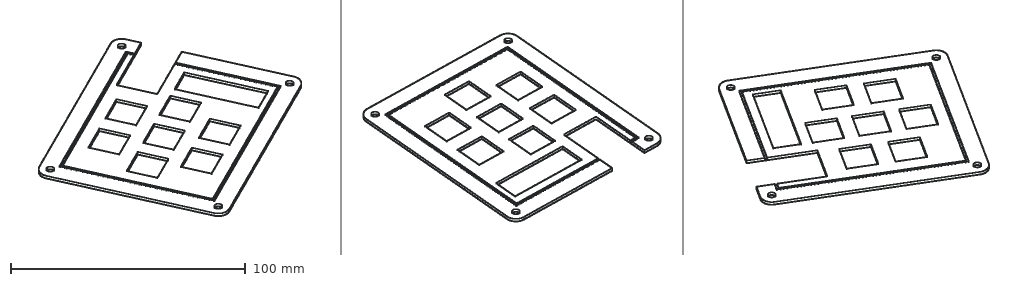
import cadquery as cq

width = 86.0
length = 100.0
thickness = 1.5
corner_radius = 5.0

hole_diameter = 3.4
hole_inset = 5.0

groove_length = 84.0
groove_side_gap = 8.0
groove_width = 1.0
groove_depth = 0.5

notch_left = -31.0
notch_width = 18.4
notch_depth = 31.0
notch_corner_radius = 0.5

window_width = 38.0
window_length = 12.2
window_center = (12.2, 30.8)

key_size = 13.9
left_column_x = -20.8
left_column_y = (2.8, -18.6)
middle_column_x = 0.0
middle_column_y = (12.8, -7.7, -28.3)
right_keys = [(21.2, 3.6), (20.7, -17.8)]
key_centers = (
    [(left_column_x, y) for y in left_column_y]
    + [(middle_column_x, y) for y in middle_column_y]
    + right_keys
)


def make_plate():
    """Rounded plate resting on Z = 0, with its corner holes."""
    plate = cq.Workplane("XY").rect(width, length).extrude(thickness)
    plate = plate.edges("|Z").fillet(corner_radius)
    hole_pattern = (width - 2 * hole_inset, length - 2 * hole_inset)
    return (
        plate.faces(">Z")
        .workplane(origin=(0, 0, thickness))
        .rect(*hole_pattern, forConstruction=True)
        .vertices()
        .hole(hole_diameter)
    )


def make_groove():
    """Rectangular ring that sinks into the top face."""
    groove_outer_width = width - 2 * groove_side_gap
    return (
        cq.Workplane("XY", origin=(0, 0, thickness))
        .rect(groove_outer_width, groove_length)
        .rect(groove_outer_width - 2 * groove_width, groove_length - 2 * groove_width)
        .extrude(-groove_depth)
    )


def make_notch():
    """Cutter for the edge notch, rounded at its two inner corners."""
    center = (notch_left + notch_width / 2, length / 2 - notch_depth / 2)
    return (
        cq.Workplane("XY")
        .center(*center)
        .rect(notch_width, notch_depth)
        .extrude(thickness)
        .edges("|Z and <Y")
        .fillet(notch_corner_radius)
    )


def make_openings(centers, size_x, size_y):
    """Cutters for through openings of one size."""
    return cq.Workplane("XY").pushPoints(centers).rect(size_x, size_y).extrude(thickness)


result = (
    make_plate()
    .cut(make_groove())
    .cut(make_notch())
    .cut(make_openings([window_center], window_width, window_length))
    .cut(make_openings(key_centers, key_size, key_size))
)